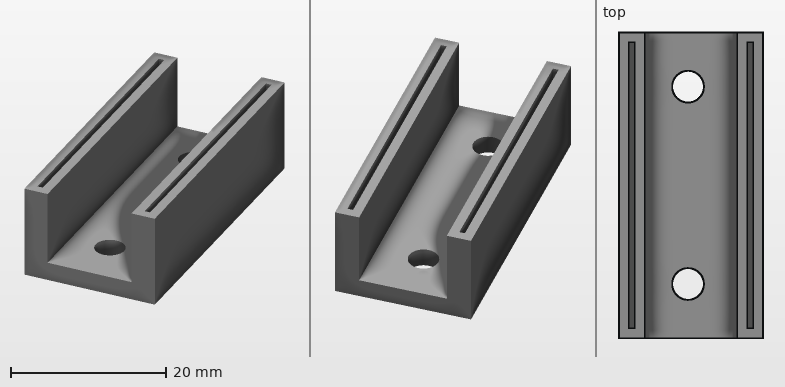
import cadquery as cq

width = 18.542
length = 39.37
height = 12.7
floor_thickness = 2.54

slot_width = 0.762
slot_margin = 1.27
slot_depth = height - floor_thickness

hole_diameter = 4.06
hole_spacing = 25.4
hole_offset_x = -0.381

wall_thickness = slot_width + 2 * slot_margin
channel_width = width - 2 * wall_thickness
slot_length = length - 2 * slot_margin
slot_center_x = (width - wall_thickness) / 2


def make_channel():
    """U-shaped body, open at the top and at both ends, resting on Z = 0."""
    body = cq.Workplane("XY").box(width, length, height, centered=(True, True, False))
    opening = (
        cq.Workplane("XY")
        .workplane(offset=floor_thickness)
        .rect(channel_width, length)
        .extrude(height - floor_thickness)
    )
    return body.cut(opening)


def make_wall_slots():
    """One narrow slot centred in each side wall, cut down from the top."""
    return (
        cq.Workplane("XY")
        .workplane(offset=height)
        .pushPoints([(-slot_center_x, 0), (slot_center_x, 0)])
        .rect(slot_width, slot_length)
        .extrude(-slot_depth)
    )


def make_mounting_holes():
    """Two round holes through the floor, spaced along Y."""
    return (
        cq.Workplane("XY")
        .pushPoints([(hole_offset_x, side * hole_spacing / 2) for side in (-1, 1)])
        .circle(hole_diameter / 2)
        .extrude(floor_thickness)
    )


result = make_channel().cut(make_wall_slots()).cut(make_mounting_holes())